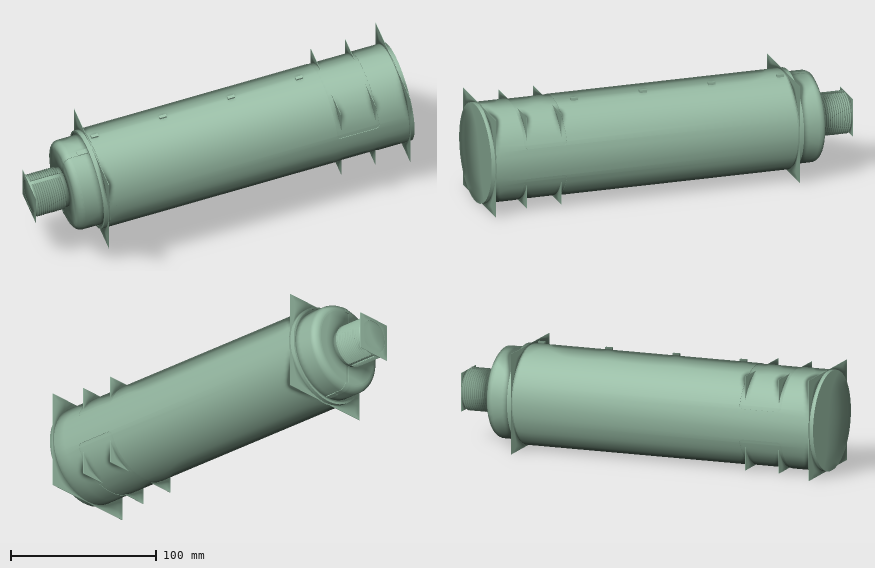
import cadquery as cq

LENGTH = 269.2
BODY_DIAMETER = 70.3
BODY_R = BODY_DIAMETER / 2
BODY_FRONT_Y = 42.5
NOSE_R = 32.0
NOSE_FRONT_Y = 24.8
NOSE_FILLET = 5.0

GROOVE_WIDTH = 1.0
GROOVE_DEPTH = 0.5
REAR_GROOVE_Y = 265.5
FRONT_GROOVE_Y = 45.8

GAP_R = 33.7
GAP_DEPTH = 0.8

THREAD_R = 15.0
THREAD_PITCH = 1.5
THREAD_DEPTH = 1.0
ROOT_R = THREAD_R - THREAD_DEPTH
THREAD_COUNT = 14
TIP_R = 13.5
TIP_CHAMFER = 1.0
TIP_RECESS_R = 11.5
TIP_RECESS_DEPTH = 0.3

KEYWAY_WIDTH = 3.2
KEYWAY_END_GAP = 1.0
KEYWAY_FLOOR_Z = 13.7

RIB_WIDTH = 3.8
RIB_HEIGHT = 0.5
RIB_LENGTH = 7.5
SEAM_HEIGHT = 0.3
FACE_GROOVE_WIDTH = 2.7
FACE_GROOVE_DEPTH = 0.3

SHEET_THICKNESS = 0.3
END_SHEET_SIDE = 70.8
BAND_SHEET_WIDTH = 61.5
BAND_SHEET_HEIGHT = 66.2
TIP_SHEET_SIDE = 27.2
SHEETS = [
    (END_SHEET_SIDE, END_SHEET_SIDE, 266.0),
    (BAND_SHEET_WIDTH, BAND_SHEET_HEIGHT, 242.0),
    (BAND_SHEET_WIDTH, BAND_SHEET_HEIGHT, 217.0),
    (END_SHEET_SIDE, END_SHEET_SIDE, FRONT_GROOVE_Y - SHEET_THICKNESS),
    (TIP_SHEET_SIDE, TIP_SHEET_SIDE, 0.0),
]

PANEL_FRONT_Y = 213.8
PANEL_LENGTH = 30.7
PANEL_EDGE_Z = 10.8
PANEL_DEPTH = 0.3
PANEL_CORNER_R = 2.7

OVERALL_HEIGHT = 71.0
BAR_TOP_Z = OVERALL_HEIGHT - END_SHEET_SIDE / 2
BAR_X = -8.3
BAR_WIDTH = 2.2
BAR_LENGTH = 5.0
BAR_FIRST_Y = 48.5
BAR_SPACING = 49.8
BAR_COUNT = 4

OVERLAP = 2.7


def box(width, length, height, x, y, z):
    """Box centred on x, starting at y and z."""
    return cq.Workplane("XY").box(width, length, height, centered=(True, False, False)).translate((x, y, z))


def turned_body():
    """Body, nose and thread as one revolved half-profile of (radius, Y)."""
    groove_r = BODY_R - GROOVE_DEPTH
    profile = cq.Workplane("XY").moveTo(0, LENGTH).lineTo(BODY_R, LENGTH)
    for y in (REAR_GROOVE_Y, FRONT_GROOVE_Y):
        profile = (
            profile.lineTo(BODY_R, y + GROOVE_WIDTH)
            .lineTo(groove_r, y + GROOVE_WIDTH)
            .lineTo(groove_r, y)
            .lineTo(BODY_R, y)
        )
    profile = (
        profile.lineTo(BODY_R, BODY_FRONT_Y)
        .lineTo(GAP_R, BODY_FRONT_Y)
        .lineTo(GAP_R, BODY_FRONT_Y + GAP_DEPTH)
        .lineTo(NOSE_R, BODY_FRONT_Y + GAP_DEPTH)
        .lineTo(NOSE_R, NOSE_FRONT_Y + NOSE_FILLET)
        .radiusArc((NOSE_R - NOSE_FILLET, NOSE_FRONT_Y), NOSE_FILLET)
        .lineTo(ROOT_R, NOSE_FRONT_Y)
    )
    thread_start = TIP_CHAMFER + THREAD_COUNT * THREAD_PITCH
    for turn in range(THREAD_COUNT):
        y = thread_start - turn * THREAD_PITCH
        profile = profile.lineTo(ROOT_R, y).lineTo(THREAD_R, y - THREAD_PITCH / 2)
    profile = profile.lineTo(ROOT_R, TIP_CHAMFER).lineTo(TIP_R, 0).lineTo(0, 0).close()
    return profile.revolve(360, (0, 0, 0), (0, 1, 0))


def label_panel():
    """Rounded sector of a thin shell, removed to sink the upper panel."""
    shell = (
        cq.Workplane("XZ", origin=(0, PANEL_FRONT_Y, 0))
        .circle(BODY_R + OVERLAP)
        .circle(BODY_R - PANEL_DEPTH)
        .extrude(-PANEL_LENGTH)
    )
    window_width = 2 * (BODY_R + OVERLAP)
    window = box(window_width, PANEL_LENGTH, BODY_R + OVERLAP, 0, PANEL_FRONT_Y, PANEL_EDGE_Z)
    return shell.intersect(window.faces("<Z").edges("|X").fillet(PANEL_CORNER_R))


def keyway():
    length = NOSE_FRONT_Y - KEYWAY_END_GAP
    return box(KEYWAY_WIDTH, length, THREAD_R, 0, KEYWAY_END_GAP, KEYWAY_FLOOR_Z)


def nose_rib():
    base_z = NOSE_R - OVERLAP
    return box(RIB_WIDTH, RIB_LENGTH, RIB_HEIGHT + OVERLAP, 0, BODY_FRONT_Y - RIB_LENGTH, base_z)


def nose_seam():
    """Narrow slice of a slightly enlarged nose, left standing over the rounded edge."""
    seam_r = NOSE_R + SEAM_HEIGHT
    inner_r = NOSE_R - NOSE_FILLET
    enlarged_nose = (
        cq.Workplane("XY")
        .moveTo(0, BODY_FRONT_Y)
        .lineTo(seam_r, BODY_FRONT_Y)
        .lineTo(seam_r, NOSE_FRONT_Y + NOSE_FILLET)
        .radiusArc((inner_r, NOSE_FRONT_Y - SEAM_HEIGHT), NOSE_FILLET + SEAM_HEIGHT)
        .lineTo(inner_r, NOSE_FRONT_Y + NOSE_FILLET)
        .lineTo(0, NOSE_FRONT_Y + NOSE_FILLET)
        .close()
        .revolve(360, (0, 0, 0), (0, 1, 0))
    )
    slice_length = BODY_FRONT_Y - NOSE_FRONT_Y + SEAM_HEIGHT
    return enlarged_nose.intersect(
        box(RIB_WIDTH, slice_length, seam_r, 0, NOSE_FRONT_Y - SEAM_HEIGHT, inner_r)
    )


def face_groove():
    height = NOSE_R - NOSE_FILLET - ROOT_R
    return box(FACE_GROOVE_WIDTH, FACE_GROOVE_DEPTH, height, 0, NOSE_FRONT_Y, ROOT_R)


def tip_recess():
    return cq.Workplane("XZ").circle(TIP_RECESS_R).extrude(-TIP_RECESS_DEPTH)


def both_sides(shape):
    """The shape and its copy half a turn around the Y axis."""
    return shape.add(shape.rotate((0, 0, 0), (0, 1, 0), 180)).combine()


def bar(index):
    base_z = BODY_R - OVERLAP
    y = BAR_FIRST_Y + index * BAR_SPACING
    return box(BAR_WIDTH, BAR_LENGTH, BAR_TOP_Z - base_z, BAR_X, y, base_z)


result = turned_body()
result = result.cut(both_sides(label_panel()))
result = result.cut(both_sides(keyway()))
result = result.cut(both_sides(face_groove()))
result = result.union(both_sides(nose_rib()))
result = result.union(both_sides(nose_seam()))
for width, height, y in SHEETS:
    result = result.union(box(width, SHEET_THICKNESS, height, 0, y, -height / 2))
result = result.cut(tip_recess())
for i in range(BAR_COUNT):
    result = result.union(bar(i))